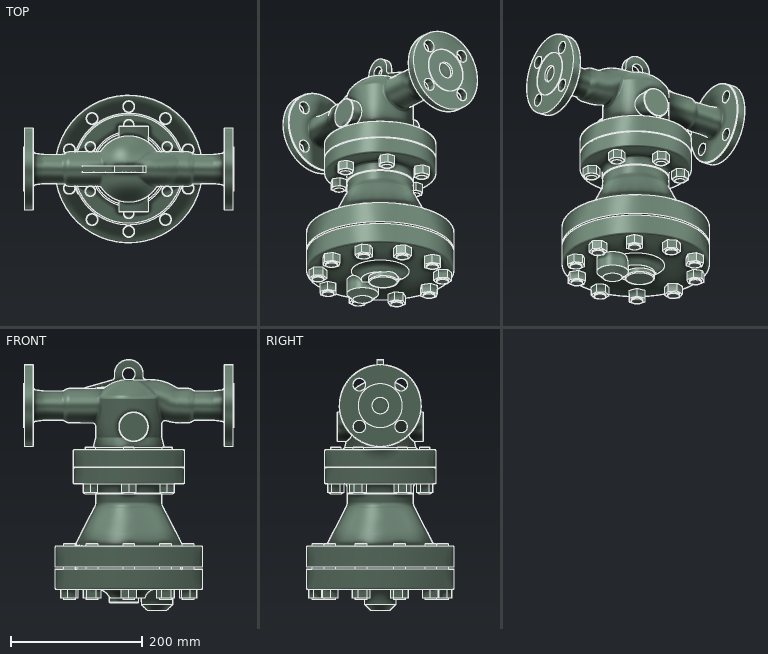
import cadquery as cq
import math


face_to_face = 320.0
pipe_flange_dia = 125.0
pipe_flange_thickness = 14.0
raised_face_dia = 67.0
raised_face_height = 1.0
flange_back_chamfer = 1.0
flange_hole_dia = 19.0
flange_hole_circle = 90.0
flange_hole_count = 4
flange_hole_start_angle = 45.0
bore_dia = 25.0
bore_depth = 4.0
hub_dia = 48.0
hub_fillet = 4.0
hub_taper_end = 129.5
pipe_dia = 45.0
port_dia = 53.0
swell_start = 101.2
port_start = 89.5
swell_concave_share = 1 / 3

outlet_bend_start = 77.0
outlet_bend_end = 33.0
outlet_rise = 13.3
lower_bend_share = 0.45
port_fillet = 5.0
port_inner_x = 20.0

body_dia = 100.95
dome_top = 40.0
dome_radius = 60.0
dome_edge_fillet = 9.0
body_flare_start = -48.6
body_foot_dia = 109.0
body_foot_fillet = 2.5
body_foot_overlap = 1.0

side_plug_dia = 45.0
side_plug_x = 7.3
side_plug_z = -32.2
side_plug_span = 131.0
side_plug_chamfer = 0.8

lug_thickness = 10.0
lug_radius = 22.0
lug_hole_dia = 19.0
lug_hole_z = 48.1
lug_root_z = 30.0
lug_rib_tip_x = -72.0
lug_rib_tip_z = 25.8
lug_rib_tip_embed = 2.0
lug_rib_top_z = 39.0
lug_foot_flare = 4.0

upper_flange_dia = 170.0
upper_flange_top = -66.5
upper_flange_joint = -94.0
upper_flange_bottom = -119.3
upper_joint_gap = 0.8
upper_gasket_dia = 165.0
upper_top_fillet = 3.0
upper_bottom_fillet = 2.5

collar_dia = 102.0
collar_fillet = 3.5
collar_bottom = -133.3
neck_dia = 100.95
neck_top = -134.6
neck_bend_start = -147.6
cone_top = -156.5
cone_top_dia = 107.0
cone_break = -193.5
cone_break_dia = 145.0
cone_foot_dia = 161.4
cone_foot_z = -209.9
cone_foot_run = 5.6

lower_flange_dia = 225.0
lower_flange_top = -213.5
lower_joint_top = -246.0
lower_joint_bottom = -249.0
lower_flange_bottom = -280.0
lower_gasket_dia = 158.0
lower_edge_fillet = 2.5

stud_chamfer = 0.8
upper_stud_count = 6
upper_stud_circle = 135.0
upper_stud_dia = 16.0
upper_stud_top = -63.2
upper_stud_end_dia = 22.0
upper_stud_bottom = -134.7
upper_nut_flats = 22.0
upper_nut_height = 13.0
lower_stud_count = 10
lower_stud_circle = 190.0
lower_stud_dia = 18.0
lower_stud_top = -210.0
lower_stud_end_dia = 18.0
lower_stud_bottom = -295.3
lower_nut_flats = 24.0
lower_nut_height = 13.2

cover_boss_top_radius = 44.0
cover_boss_mid_radius = 34.8
cover_boss_mid_z = -285.0
cover_boss_radius = 29.0
cover_boss_bottom = -293.0
drain_plug_dia = 45.0
drain_plug_x = -7.3
drain_plug_bottom = -300.6
drain_plug_chamfer = 1.5
drain_port_dia = 48.0
drain_port_x = 43.0
drain_port_bottom = -311.9
drain_port_chamfer = 9.2


def cylinder_z(diameter, bottom, top, x=0.0, y=0.0):
    disc = cq.Workplane("XY", origin=(x, y, bottom)).circle(diameter / 2)
    return disc.extrude(top - bottom)


def pipe_end(inner_x):
    """Flange, hub and pipe turned about +X, with the port running inward to inner_x."""
    outer_x = face_to_face / 2
    flange_face = outer_x - raised_face_height
    flange_back = flange_face - pipe_flange_thickness
    flange_radius = pipe_flange_dia / 2
    hub_radius = hub_dia / 2
    pipe_radius = pipe_dia / 2
    port_radius = port_dia / 2

    joint_x = swell_start - swell_concave_share * (swell_start - port_start)
    joint_radius = pipe_radius + swell_concave_share * (port_radius - pipe_radius)

    fillet_mid = hub_fillet * (1 - math.sqrt(0.5))
    profile = (
        cq.Workplane("XZ")
        .moveTo(inner_x, 0)
        .lineTo(outer_x, 0)
        .lineTo(outer_x, raised_face_dia / 2)
        .lineTo(flange_face, raised_face_dia / 2)
        .lineTo(flange_face, flange_radius)
        .lineTo(flange_back + flange_back_chamfer, flange_radius)
        .lineTo(flange_back, flange_radius - flange_back_chamfer)
        .lineTo(flange_back, hub_radius + hub_fillet)
        .threePointArc(
            (flange_back - fillet_mid, hub_radius + fillet_mid),
            (flange_back - hub_fillet, hub_radius),
        )
        .lineTo(hub_taper_end, pipe_radius)
        .lineTo(swell_start, pipe_radius)
        .tangentArcPoint((joint_x, joint_radius), relative=False)
        .tangentArcPoint((port_start, port_radius), relative=False)
        .lineTo(inner_x, port_radius)
        .close()
    )
    solid = profile.revolve(360, (0, 0, 0), (1, 0, 0))
    holes = (
        cq.Workplane("YZ", origin=(flange_back, 0, 0))
        .polarArray(flange_hole_circle / 2, flange_hole_start_angle, 360, flange_hole_count)
        .circle(flange_hole_dia / 2)
        .extrude(pipe_flange_thickness)
    )
    return solid.cut(holes)


def pipe_bore():
    bore_x = face_to_face / 2 - bore_depth
    return cq.Workplane("YZ", origin=(bore_x, 0, 0)).circle(bore_dia / 2).extrude(bore_depth)


def outlet_passage():
    """Port-size tube swept along the S-bend and on into the dome."""
    joint_x = outlet_bend_start - lower_bend_share * (outlet_bend_start - outlet_bend_end)
    joint_z = lower_bend_share * outlet_rise
    chord = math.hypot(outlet_bend_start - joint_x, joint_z)
    lower_bend_radius = chord**2 / (2 * joint_z)
    path = (
        cq.Workplane("XZ")
        .moveTo(outlet_bend_start, 0)
        .radiusArc((joint_x, joint_z), lower_bend_radius)
        .tangentArcPoint((outlet_bend_end, outlet_rise), relative=False)
        .lineTo(0, outlet_rise)
    )
    section = cq.Workplane("YZ", origin=(outlet_bend_start, 0, 0)).circle(port_dia / 2)
    return section.sweep(path)


def body():
    """Cylinder with a shallow spherical dome and a flared foot."""
    radius = body_dia / 2
    foot_radius = body_foot_dia / 2
    dome_center_z = dome_top - dome_radius
    dome_edge_z = dome_center_z + math.sqrt(dome_radius**2 - radius**2)
    half_angle = math.asin(radius / dome_radius) / 2
    dome_mid = (
        dome_radius * math.sin(half_angle),
        dome_center_z + dome_radius * math.cos(half_angle),
    )
    return (
        cq.Workplane("XZ")
        .moveTo(0, upper_flange_top - body_foot_overlap)
        .lineTo(0, dome_top)
        .threePointArc(dome_mid, (radius, dome_edge_z))
        .lineTo(radius, body_flare_start)
        .lineTo(foot_radius, upper_flange_top + body_foot_fillet)
        .lineTo(foot_radius + body_foot_fillet, upper_flange_top)
        .lineTo(foot_radius + body_foot_fillet, upper_flange_top - body_foot_overlap)
        .close()
        .revolve(360, (0, 0, 0), (0, 1, 0))
    )


def round_dome_edge(shell):
    """Round the crease where the dome meets the cylinder."""
    radius = body_dia / 2
    dome_edge_z = dome_top - dome_radius + math.sqrt(dome_radius**2 - radius**2)
    level = cq.selectors.BoxSelector(
        (-radius, -radius, dome_edge_z - 1), (radius, radius, dome_edge_z + 1)
    )
    return shell.edges("%CIRCLE").edges(level).fillet(dome_edge_fillet)


def casting():
    """Domed body with the inlet and outlet passages blended into it."""
    shell = round_dome_edge(body())
    inlet = pipe_end(port_inner_x).mirror("YZ")
    outlet = pipe_end(outlet_bend_start).union(outlet_passage())
    joined = shell.union(inlet).union(outlet)
    return joined.edges("%BSPLINE or %OTHER").fillet(port_fillet)


def side_plugs():
    plug = (
        cq.Workplane("XZ", origin=(side_plug_x, side_plug_span / 2, side_plug_z))
        .circle(side_plug_dia / 2)
        .extrude(side_plug_span)
    )
    return plug.faces("<Y or >Y").chamfer(side_plug_chamfer)


def lifting_lug():
    """Upright eye with a sloping rib running down to the inlet port."""
    flare_x = lug_radius + lug_foot_flare
    plate = (
        cq.Workplane("XZ", origin=(0, lug_thickness / 2, 0))
        .moveTo(lug_rib_tip_x, lug_rib_tip_z)
        .lineTo(-flare_x, lug_rib_top_z)
        .radiusArc((-lug_radius, lug_rib_top_z + lug_foot_flare), -lug_foot_flare)
        .lineTo(-lug_radius, lug_hole_z)
        .threePointArc((0, lug_hole_z + lug_radius), (lug_radius, lug_hole_z))
        .lineTo(lug_radius, dome_top + lug_foot_flare)
        .radiusArc((flare_x, dome_top), -lug_foot_flare)
        .lineTo(flare_x, lug_root_z)
        .lineTo(-lug_radius, lug_root_z)
        .lineTo(lug_rib_tip_x, lug_rib_tip_z - lug_rib_tip_embed)
        .close()
        .extrude(lug_thickness)
    )
    hole = (
        cq.Workplane("XZ", origin=(0, lug_thickness / 2, lug_hole_z))
        .circle(lug_hole_dia / 2)
        .extrude(lug_thickness)
    )
    return plate.cut(hole)


def upper_flanges():
    half_gap = upper_joint_gap / 2
    top_plate = cylinder_z(upper_flange_dia, upper_flange_joint + half_gap, upper_flange_top)
    bottom_plate = cylinder_z(upper_flange_dia, upper_flange_bottom, upper_flange_joint - half_gap)
    gasket = cylinder_z(upper_gasket_dia, upper_flange_bottom, upper_flange_top)
    top_plate = top_plate.faces(">Z").edges().fillet(upper_top_fillet)
    bottom_plate = bottom_plate.faces("<Z").edges().fillet(upper_bottom_fillet)
    return top_plate.union(bottom_plate).union(gasket)


def lower_flanges():
    top_plate = cylinder_z(lower_flange_dia, lower_joint_top, lower_flange_top)
    bottom_plate = cylinder_z(lower_flange_dia, lower_flange_bottom, lower_joint_bottom)
    gasket = cylinder_z(lower_gasket_dia, lower_joint_bottom, lower_joint_top)
    top_plate = top_plate.faces(">Z").edges().fillet(lower_edge_fillet)
    bottom_plate = bottom_plate.faces("<Z").edges().fillet(lower_edge_fillet)
    return top_plate.union(bottom_plate).union(gasket)


def neck():
    """Collar and straight neck curving into a cone that is blended into the lower flange."""
    collar_radius = collar_dia / 2
    foot_radius = cone_foot_dia / 2
    return (
        cq.Workplane("XZ")
        .moveTo(0, upper_flange_bottom)
        .lineTo(collar_radius + collar_fillet, upper_flange_bottom)
        .radiusArc((collar_radius, upper_flange_bottom - collar_fillet), -collar_fillet)
        .lineTo(collar_radius, collar_bottom)
        .lineTo(neck_dia / 2, neck_top)
        .lineTo(neck_dia / 2, neck_bend_start)
        .tangentArcPoint((cone_top_dia / 2, cone_top), relative=False)
        .lineTo(cone_break_dia / 2, cone_break)
        .lineTo(foot_radius, cone_foot_z)
        .tangentArcPoint((foot_radius + cone_foot_run, lower_flange_top), relative=False)
        .lineTo(0, lower_flange_top)
        .close()
        .revolve(360, (0, 0, 0), (0, 1, 0))
    )


def bolt_ring(count, circle_dia, stud_dia, stud_top, end_dia, stud_bottom, nut_flats, nut_top, nut_height):
    """Studs with hexagon nuts underneath, each nut pointing a corner outward."""
    nut_corners = nut_flats / math.cos(math.pi / 6)
    stud = cylinder_z(stud_dia, stud_bottom, stud_top, x=circle_dia / 2)
    stud = stud.faces(">Z").chamfer(stud_chamfer)
    nut = (
        cq.Workplane("XY", origin=(circle_dia / 2, 0, nut_top))
        .polygon(6, nut_corners)
        .extrude(-nut_height)
    )
    nut_bottom = nut_top - nut_height
    stud_end = (
        cq.Workplane("XY", origin=(circle_dia / 2, 0, nut_bottom))
        .circle(end_dia / 2)
        .workplane(offset=stud_bottom - nut_bottom)
        .circle(stud_dia / 2)
        .loft()
    )
    bolt = stud.union(nut).union(stud_end)
    ring = cq.Workplane("XY")
    for index in range(count):
        ring = ring.add(bolt.rotate((0, 0, 0), (0, 0, 1), 90 + index * 360 / count))
    return ring


def bottom_cover():
    """Round boss under the cover, carrying the drain plug and the drain port."""
    boss = (
        cq.Workplane("XZ")
        .moveTo(0, lower_flange_bottom)
        .lineTo(cover_boss_top_radius, lower_flange_bottom)
        .threePointArc((cover_boss_mid_radius, cover_boss_mid_z), (cover_boss_radius, cover_boss_bottom))
        .lineTo(0, cover_boss_bottom)
        .close()
        .revolve(360, (0, 0, 0), (0, 1, 0))
    )
    plug = cylinder_z(drain_plug_dia, drain_plug_bottom, lower_flange_bottom, x=drain_plug_x)
    plug = plug.faces("<Z").chamfer(drain_plug_chamfer)
    port = cylinder_z(drain_port_dia, drain_port_bottom, lower_flange_bottom, x=drain_port_x)
    port = port.faces("<Z").chamfer(drain_port_chamfer)
    return boss.union(plug).union(port)


upper_bolts = bolt_ring(
    upper_stud_count,
    upper_stud_circle,
    upper_stud_dia,
    upper_stud_top,
    upper_stud_end_dia,
    upper_stud_bottom,
    upper_nut_flats,
    upper_flange_bottom,
    upper_nut_height,
)
lower_bolts = bolt_ring(
    lower_stud_count,
    lower_stud_circle,
    lower_stud_dia,
    lower_stud_top,
    lower_stud_end_dia,
    lower_stud_bottom,
    lower_nut_flats,
    lower_flange_bottom,
    lower_nut_height,
)

result = casting()
for feature in (side_plugs(), lifting_lug(), upper_flanges(), neck(), lower_flanges(), bottom_cover()):
    result = result.union(feature)
for ring in (upper_bolts, lower_bolts):
    for bolt in ring.vals():
        result = result.union(cq.Workplane(bolt))
result = result.cut(pipe_bore()).cut(pipe_bore().mirror("YZ"))